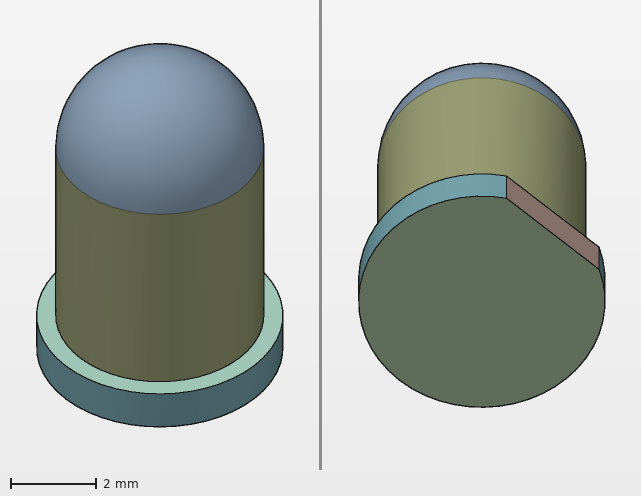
import cadquery as cq
import math

total_height = 8.6
body_diameter = 4.9
flange_diameter = 5.8
flange_height = 1.015
flat_distance = 2.5

body_radius = body_diameter / 2
flange_radius = flange_diameter / 2
dome_base_height = total_height - body_radius


def make_flange():
    """Round base flange, cut by one flat facing -X."""
    disc = cq.Workplane("XY").circle(flange_radius).extrude(flange_height)
    kept_region = (
        cq.Workplane("XY")
        .box(flat_distance + flange_radius, flange_diameter, flange_height, centered=(False, True, False))
        .translate((-flat_distance, 0, 0))
    )
    return disc.intersect(kept_region)


def make_domed_body():
    """Cylinder topped by a hemisphere, revolved about the Z axis."""
    arc_offset = body_radius * math.cos(math.radians(45))
    return (
        cq.Workplane("XZ")
        .lineTo(body_radius, 0)
        .lineTo(body_radius, dome_base_height)
        .threePointArc((arc_offset, dome_base_height + arc_offset), (0, total_height))
        .close()
        .revolve(360, (0, 0, 0), (0, 1, 0))
    )


result = make_flange().union(make_domed_body())